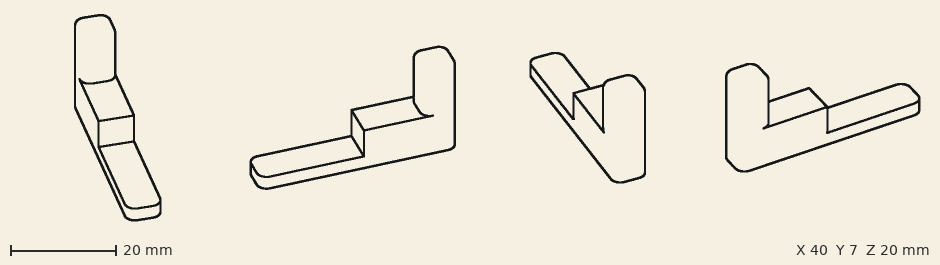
import cadquery as cq

length = 40.0
width = 7.0
height = 20.0

post_length = width
block_end = 19.0
block_height = 8.9
tongue_height = 2.8

corner_radius = 2.0
top_fillet = 1.0


def bar(bar_length, bar_height):
    """Box starting at X = 0 on the base plane, centred across its width."""
    return cq.Workplane("XY").box(bar_length, width, bar_height, centered=(False, True, False))


post = bar(post_length, height).edges("|Z").fillet(corner_radius)
post = post.faces(">Z").edges().fillet(top_fillet)

block = bar(block_end, block_height).edges("|Z and <X").fillet(corner_radius)
tongue = bar(length, tongue_height).edges("|Z").fillet(corner_radius)

result = post.union(block).union(tongue)